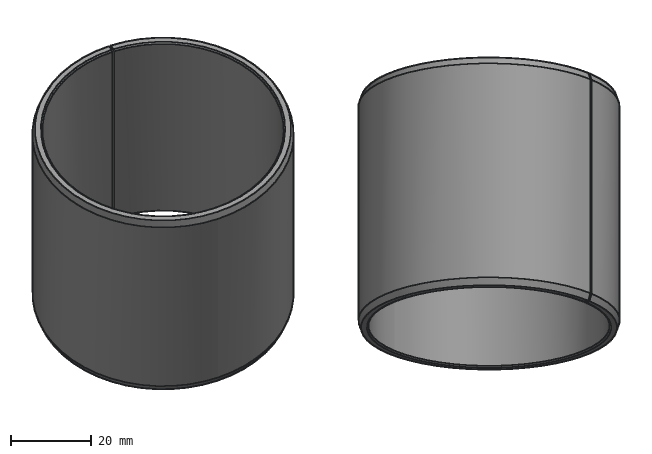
import cadquery as cq

outer_diameter = 65.0
inner_diameter = 60.0
length = 60.0
outer_bevel_height = 1.8
outer_bevel_depth = 0.65
inner_bevel = 0.4
split_width = 0.5

outer_radius = outer_diameter / 2
inner_radius = inner_diameter / 2


def bushing_wall():
    """Revolve the wall section, beveled at all four end edges."""
    section = [
        (inner_radius + inner_bevel, 0),
        (outer_radius - outer_bevel_depth, 0),
        (outer_radius, outer_bevel_height),
        (outer_radius, length - outer_bevel_height),
        (outer_radius - outer_bevel_depth, length),
        (inner_radius + inner_bevel, length),
        (inner_radius, length - inner_bevel),
        (inner_radius, inner_bevel),
    ]
    return cq.Workplane("XZ").polyline(section).close().revolve(360, (0, 0), (0, 1))


def split_cutter():
    """Thin slab that opens the wall along its full length on the -X side, just above Y = 0."""
    return cq.Workplane("XY").box(
        outer_radius, split_width, length, centered=False
    ).translate((-outer_radius, 0, 0))


result = bushing_wall().cut(split_cutter())